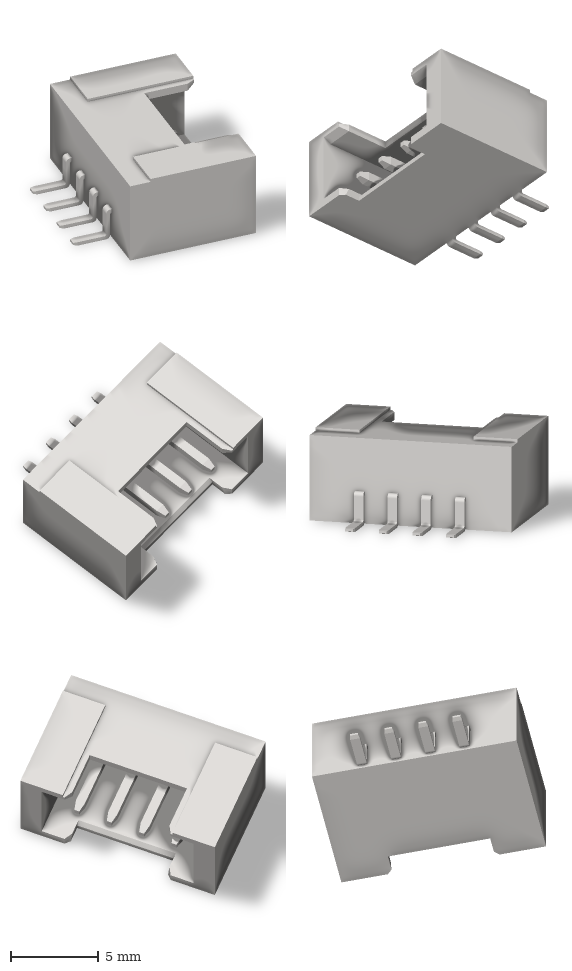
import cadquery as cq

width = 12.0
depth = 7.8
height = 5.2
rail_width = 2.62
rail_length = 6.54
rail_step = 0.19
shelf_height = height - rail_step

cavity_width = 9.36
cavity_depth = rail_length
floor_thickness = 0.5
ceiling_thickness = 0.47
ceiling_height = shelf_height - ceiling_thickness
lead_in_depth = 0.5
lead_in_rise = 0.25

notch_width = 6.0
ceiling_notch_depth = 3.19
floor_notch_depth = 1.25
floor_lip_chamfer = 0.23
corner_cut_width = 0.28
corner_cut_depth = 0.5
floor_corner_base_depth = 0.28

pin_count = 4
pitch = notch_width / (pin_count - 1)
pin_size = 0.55
pin_tip_size = 0.3
pin_taper_length = 0.55
pin_tip_setback = 1.2
leg_width = 0.56
leg_thickness = 0.23
leg_top = 1.91
leg_bottom = -0.05
leg_face = -0.35
leg_end = -2.39
bend_inner_radius = 0.12
bend_outer_radius = 0.25
foot_taper_length = 0.25
foot_tip_width = 0.45
foot_tip_thickness = 0.15
foot_tip_rise = 0.02
pin_axis_height = leg_top - leg_thickness / 2


def block(size_x, y_start, y_end, z_start, z_end, x_center=0.0):
    """Block centred on x_center that spans the given Y and Z ranges."""
    solid = cq.Workplane("XY").box(size_x, y_end - y_start, z_end - z_start, centered=(True, False, False))
    return solid.translate((x_center, y_start, z_start))


def prism_along_x(points, length):
    """Prism of a (Y, Z) outline, centred on X = 0."""
    return cq.Workplane("YZ").polyline(points).close().extrude(length / 2, both=True)


def corner_waste(side, z_bottom, thickness, bottom_depth, top_depth):
    """Triangular waste at one mating corner of a notch; its length along Y may change with height."""
    side_x = side * notch_width / 2
    front_x = side_x + side * corner_cut_width
    return (
        cq.Workplane("XY", origin=(0, 0, z_bottom))
        .polyline([(side_x, depth - bottom_depth), (side_x, depth), (front_x, depth)]).close()
        .workplane(offset=thickness)
        .polyline([(side_x, depth - top_depth), (side_x, depth), (front_x, depth)]).close()
        .loft(ruled=True)
    )


def make_housing():
    """Housing block with its two top rails and the mating cavity."""
    body = block(width, 0, depth, 0, shelf_height)
    for side in (-1, 1):
        rail_center = side * (width - rail_width) / 2
        body = body.union(block(rail_width, depth - rail_length, depth, shelf_height, height, rail_center))
    return body.cut(block(cavity_width, depth - cavity_depth, depth, floor_thickness, ceiling_height))


def ceiling_waste():
    """Ceiling notch with cut corners, and the sloping lead-in under the ceiling's mating edge."""
    waste = block(notch_width, depth - ceiling_notch_depth, depth, ceiling_height, shelf_height)
    for side in (-1, 1):
        corner = corner_waste(side, ceiling_height, ceiling_thickness, corner_cut_depth, corner_cut_depth)
        waste = waste.union(corner)
    lead_in = prism_along_x(
        [
            (depth - lead_in_depth, ceiling_height),
            (depth, ceiling_height),
            (depth, ceiling_height + lead_in_rise),
        ],
        cavity_width,
    )
    return waste.union(lead_in)


def floor_waste():
    """Floor notch with leaning corner cuts, and the chamfer on its lip."""
    lip = depth - floor_notch_depth
    waste = block(notch_width, lip, depth, 0, floor_thickness)
    for side in (-1, 1):
        corner = corner_waste(side, 0, floor_thickness, floor_corner_base_depth, corner_cut_depth)
        waste = waste.union(corner)
    lip_chamfer = prism_along_x(
        [
            (lip - floor_lip_chamfer, floor_thickness),
            (lip, floor_thickness),
            (lip, floor_thickness - floor_lip_chamfer),
        ],
        notch_width,
    )
    return waste.union(lip_chamfer)


def make_pin():
    """Straight mating pin, rooted in the cavity's rear wall, with a tapered tip."""
    root = (depth - cavity_depth) / 2
    tip = depth - pin_tip_setback
    shoulder = tip - pin_taper_length
    half = pin_size / 2
    shank = block(pin_size, root, shoulder, pin_axis_height - half, pin_axis_height + half)
    point = (
        cq.Workplane("XZ", origin=(0, shoulder, pin_axis_height))
        .rect(pin_size, pin_size)
        .workplane(offset=-pin_taper_length)
        .rect(pin_tip_size, pin_tip_size)
        .loft(ruled=True)
    )
    return shank.union(point)


def make_leg():
    """Gull-wing leg, from inside the rear wall down to a tapered foot."""
    root = (depth - cavity_depth) / 2
    leg_back = leg_face + leg_thickness
    leg_underside = leg_top - leg_thickness
    foot_top = leg_bottom + leg_thickness
    foot_shoulder = leg_end + foot_taper_length
    strip = (
        cq.Workplane("YZ")
        .moveTo(root, leg_top)
        .lineTo(leg_face + bend_outer_radius, leg_top)
        .radiusArc((leg_face, leg_top - bend_outer_radius), -bend_outer_radius)
        .lineTo(leg_face, foot_top + bend_inner_radius)
        .radiusArc((leg_face - bend_inner_radius, foot_top), bend_inner_radius)
        .lineTo(foot_shoulder, foot_top)
        .lineTo(foot_shoulder, leg_bottom)
        .lineTo(leg_back - bend_outer_radius, leg_bottom)
        .radiusArc((leg_back, leg_bottom + bend_outer_radius), -bend_outer_radius)
        .lineTo(leg_back, leg_underside - bend_inner_radius)
        .radiusArc((leg_back + bend_inner_radius, leg_underside), bend_inner_radius)
        .lineTo(root, leg_underside)
        .close()
        .extrude(leg_width / 2, both=True)
    )
    foot_tip = (
        cq.Workplane("XZ", origin=(0, foot_shoulder, leg_bottom + leg_thickness / 2))
        .rect(leg_width, leg_thickness)
        .workplane(offset=foot_taper_length)
        .center(0, foot_tip_rise)
        .rect(foot_tip_width, foot_tip_thickness)
        .loft(ruled=True)
    )
    return strip.union(foot_tip)


result = make_housing().cut(ceiling_waste()).cut(floor_waste())
contact = make_pin().union(make_leg())
for index in range(pin_count):
    contact_x = (index - (pin_count - 1) / 2) * pitch
    result = result.union(contact.translate((contact_x, 0, 0)))